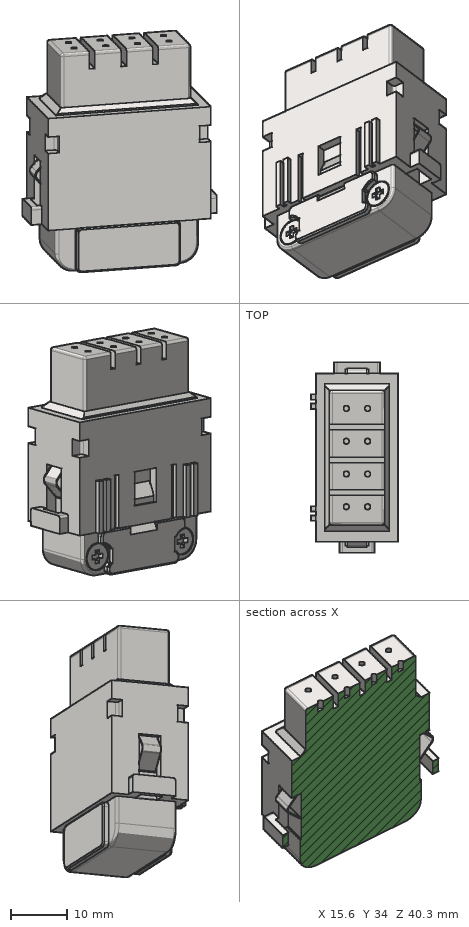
import cadquery as cq
import math

BODY_X = 14.65
BODY_Y = 30.05
BODY_SHIFT = 0.02
BODY_BOTTOM = 8.42
BODY_TOP = 29.18
BODY_LEFT = BODY_SHIFT - BODY_X / 2
BODY_END = BODY_Y / 2

TOWER_X = 9.9
TOWER_Y = 24.05
TOWER_TOP = 40.3
TOWER_FILLET = 0.52
FOOT_HEIGHT = 1.13
FOOT_X = 11.55
PITCH = 5.85
SLOT_WIDTH = 1.0
SLOT_DEPTH = 3.2
SLOT_SHIFT = -0.4
PIN_ROWS = 4
PIN_X = 1.9
PIN_DIAMETER = 1.0
PIN_DEPTH = 2

NOTCH_BOTTOM = 22.7
NOTCH_TOP = 25.75
NOTCH_X = 2.0
NOTCH_Y = 2.1
NOTCH_FILLET = 0.5

END_SLOT_WIDTH = 4.15
END_SLOT_TOP = 19.8
END_SLOT_DEPTH = 2.05
SPRING_WIDTH = 3.55
SPRING_BOTTOM = 13.45
SPRING_PEAK_Z = 17.13
SPRING_PEAK_OUT = 0.93
SPRING_RADIUS = 1.13
SPRING_LEAN = math.radians(42)
SPRING_THICKNESS = 0.2
TAB_OUT = 1.97
TAB_TOP = 11.73
TAB_FRONT_WIDTH = 6.3
TAB_REAR_WIDTH = 8.22
TAB_FILLET = 0.5
TAB_SLOT_OUT = 0.7

RIB_OUT = 0.93
RIB_WIDTH = 1.0
RIB_TOP = 17.97
RIB_Y = (9.15, 10.8)
GROOVE_Y = 6.53
GROOVE_TOP = 18.25
GROOVE_DEPTH = 0.85
WINDOW_WIDTH = 4.9
WINDOW_BOTTOM = 12.0
WINDOW_DEPTH = 1.6
LATCH_WIDTH = 4.67
LATCH_FACE_TOP = 13.1
LATCH_TOP = 15.65
LATCH_INSET = 0.45

SHELL_X = 11.6
SHELL_Y = 26.45
SHELL_CORNER = 3.5
SHELL_FILLET = 0.52
COVER_THICKNESS = 1.13
COVER_Y = 19.2
COVER_TOP = 8.25
COVER_CORNER = 0.93
COVER_CHAMFER = 0.3
COVER_LOWER_Y = 16.3
NICHE_WIDTH = 6.0
NICHE_BOTTOM = 6.77
NICHE_DEPTH = 0.8

SCREW_Y = SHELL_Y / 2 - SHELL_CORNER
SCREW_Z = SHELL_CORNER
SCREW_RADIUS = 2.5
SCREW_RING = 0.1
SCREW_RING_DEPTH = 0.25
CROSS_LENGTH = 2.4
CROSS_FLOOR_LENGTH = 1.45
CROSS_WIDTH = 0.8
CROSS_DEPTH = 0.6
CUTOUT_RADIUS = 2.5
CUTOUT_FLARE = 0.25
OPENING_Y = 7.1
SLIT_X = 0.25
SLIT_BOTTOM = 2.15
SLIT_TOP = 4.85


def block(x0, x1, y0, y1, z0, z1):
    return cq.Workplane("XY").box(x1 - x0, y1 - y0, z1 - z0, centered=False).translate((x0, y0, z0))


def bar(width_x, width_y, z0, z1):
    return block(-width_x / 2, width_x / 2, -width_y / 2, width_y / 2, z0, z1)


def make_plug():
    plug = bar(TOWER_X, TOWER_Y, BODY_TOP, TOWER_TOP).edges("|Z or >Z").fillet(TOWER_FILLET)
    spread = 2 * FOOT_HEIGHT
    foot = (
        cq.Workplane("XY").workplane(offset=BODY_TOP).rect(TOWER_X + spread, TOWER_Y + spread)
        .workplane(offset=FOOT_HEIGHT).rect(TOWER_X, TOWER_Y).loft()
    )
    foot = foot.intersect(bar(FOOT_X, BODY_Y, BODY_TOP, TOWER_TOP))
    plug = plug.union(foot)
    for row in (-1, 0, 1):
        slot = bar(2 * TOWER_X, SLOT_WIDTH, TOWER_TOP - SLOT_DEPTH, TOWER_TOP)
        plug = plug.cut(slot.translate((0, SLOT_SHIFT + row * PITCH, 0)))
    pins = (
        cq.Workplane("XY").workplane(offset=TOWER_TOP).rarray(2 * PIN_X, PITCH, 2, PIN_ROWS)
        .circle(PIN_DIAMETER / 2).extrude(-PIN_DEPTH)
    )
    return plug.cut(pins)


def make_corner_notches():
    notches = cq.Workplane("XY").workplane(offset=NOTCH_BOTTOM).center(BODY_SHIFT, 0)
    notches = notches.rect(BODY_X, BODY_Y, forConstruction=True).vertices()
    notches = notches.rect(2 * NOTCH_X, 2 * NOTCH_Y).extrude(NOTCH_TOP - NOTCH_BOTTOM)
    return notches.edges("|Z").fillet(NOTCH_FILLET)


def make_spring():
    """Bent strip at the +Y end: two leaning legs joined by a rounded peak."""
    center_y = BODY_END + SPRING_PEAK_OUT - SPRING_RADIUS
    inner = SPRING_RADIUS - SPRING_THICKNESS

    def on_leg(radius, z):
        drop = abs(z - SPRING_PEAK_Z) * math.tan(SPRING_LEAN)
        return center_y + radius / math.cos(SPRING_LEAN) - drop, z

    def tangent(radius, side):
        rise = side * radius * math.sin(SPRING_LEAN)
        return center_y + radius * math.cos(SPRING_LEAN), SPRING_PEAK_Z + rise

    strip = (
        cq.Workplane("YZ")
        .moveTo(*on_leg(SPRING_RADIUS, END_SLOT_TOP)).lineTo(*tangent(SPRING_RADIUS, 1))
        .threePointArc((center_y + SPRING_RADIUS, SPRING_PEAK_Z), tangent(SPRING_RADIUS, -1))
        .lineTo(*on_leg(SPRING_RADIUS, SPRING_BOTTOM)).lineTo(*on_leg(inner, SPRING_BOTTOM))
        .lineTo(*tangent(inner, -1))
        .threePointArc((center_y + inner, SPRING_PEAK_Z), tangent(inner, 1))
        .lineTo(*on_leg(inner, END_SLOT_TOP)).close()
    )
    return strip.extrude(SPRING_WIDTH / 2, both=True)


def make_end(tab_width):
    """Tab, slot and spring of the +Y end."""
    tab = block(-tab_width / 2, tab_width / 2, BODY_END, BODY_END + TAB_OUT, BODY_BOTTOM, TAB_TOP)
    tab = tab.edges("|Y and >Z").fillet(TAB_FILLET)
    slot = block(-END_SLOT_WIDTH / 2, END_SLOT_WIDTH / 2, BODY_END - END_SLOT_DEPTH,
                 BODY_END + TAB_SLOT_OUT, BODY_BOTTOM, END_SLOT_TOP)
    return tab, slot, make_spring()


def make_body():
    body = bar(BODY_X, BODY_Y, BODY_BOTTOM, BODY_TOP).translate((BODY_SHIFT, 0, 0))
    body = body.cut(make_corner_notches())
    for tab_width, turn in ((TAB_REAR_WIDTH, 0), (TAB_FRONT_WIDTH, 180)):
        tab, slot, spring = (
            piece.rotate((0, 0, 0), (0, 0, 1), turn) for piece in make_end(tab_width)
        )
        body = body.union(tab).cut(slot).union(spring)
    return body


def add_side_details(body):
    for side in (-1, 1):
        for y in RIB_Y:
            rib = block(BODY_LEFT - RIB_OUT, BODY_LEFT, side * y - RIB_WIDTH / 2,
                        side * y + RIB_WIDTH / 2, BODY_BOTTOM, RIB_TOP)
            body = body.union(rib)
        groove = block(BODY_LEFT, BODY_LEFT + GROOVE_DEPTH, side * GROOVE_Y - RIB_WIDTH / 2,
                       side * GROOVE_Y + RIB_WIDTH / 2, BODY_BOTTOM, GROOVE_TOP)
        body = body.cut(groove)
    window = block(BODY_LEFT, BODY_LEFT + WINDOW_DEPTH, -WINDOW_WIDTH / 2, WINDOW_WIDTH / 2,
                   WINDOW_BOTTOM, GROOVE_TOP)
    back = BODY_LEFT + WINDOW_DEPTH
    face = BODY_LEFT + LATCH_INSET
    latch = (
        cq.Workplane("XZ")
        .polyline([(back, WINDOW_BOTTOM), (face, WINDOW_BOTTOM), (face, LATCH_FACE_TOP),
                   (back, LATCH_TOP)]).close()
        .extrude(LATCH_WIDTH / 2, both=True)
    )
    return body.cut(window).union(latch)


def make_cover():
    """Cover plate on the -X side, without cutouts."""
    inner = -SHELL_X / 2
    plate = block(inner - COVER_THICKNESS, inner, -COVER_Y / 2, COVER_Y / 2, 0, COVER_TOP)
    return plate.edges("|X").fillet(COVER_CORNER)


def make_screw_cutout():
    """Flared round cut over the +Y screw, stopped flat on its inner side."""
    inner = -SHELL_X / 2
    outer = inner - COVER_THICKNESS
    center = cq.Workplane("YZ").workplane(offset=outer).center(SCREW_Y, SCREW_Z)
    flare = center.circle(CUTOUT_RADIUS + CUTOUT_FLARE).workplane(offset=CUTOUT_FLARE)
    flare = flare.circle(CUTOUT_RADIUS).loft()
    cutout = center.circle(CUTOUT_RADIUS).extrude(COVER_THICKNESS).union(flare)
    cutout = cutout.intersect(block(outer, inner, OPENING_Y, SHELL_Y, 0, COVER_TOP))
    return cutout.union(block(outer, inner, OPENING_Y, SCREW_Y, SLIT_BOTTOM, SLIT_TOP))


def make_screw_cover():
    """Cover plate with screw cutouts, a slit behind it and a sloped niche."""
    inner = -SHELL_X / 2
    outer = inner - COVER_THICKNESS
    cover = make_cover()
    step = block(outer, inner, COVER_LOWER_Y / 2, COVER_Y / 2, 0, SCREW_Z)
    cover = cover.cut(step).cut(step.mirror("XZ"))
    cover = cover.edges("|X and <Z").fillet(COVER_CORNER)
    cover = cover.faces("<X").chamfer(COVER_CHAMFER)
    cutout = make_screw_cutout()
    cover = cover.cut(cutout).cut(cutout.mirror("XZ"))
    slit = block(inner - SLIT_X, inner, -COVER_Y / 2, COVER_Y / 2, SLIT_BOTTOM, SLIT_TOP)
    niche = (
        cq.Workplane("XZ")
        .polyline([(outer, NICHE_BOTTOM), (outer + NICHE_DEPTH, COVER_TOP), (outer, COVER_TOP)])
        .close().extrude(NICHE_WIDTH / 2, both=True)
    )
    return cover.cut(slit).cut(niche)


def make_cross_arm(turn):
    """One bar of the cross recess, with ends that slope towards its floor."""
    arm = (
        cq.Workplane("YZ").rect(CROSS_LENGTH, CROSS_WIDTH)
        .workplane(offset=CROSS_DEPTH).rect(CROSS_FLOOR_LENGTH, CROSS_WIDTH).loft()
    )
    return arm.rotate((0, 0, 0), (1, 0, 0), turn)


def make_shell():
    shell = bar(SHELL_X, SHELL_Y, 0, BODY_BOTTOM).edges("|X and <Z").fillet(SHELL_CORNER)
    shell = shell.faces("<X or >X").edges("not >Z").fillet(SHELL_FILLET)
    face = cq.Workplane("YZ").workplane(offset=-SHELL_X / 2)
    for side in (-1, 1):
        spot = face.center(side * SCREW_Y, SCREW_Z)
        ring = spot.circle(SCREW_RADIUS).circle(SCREW_RADIUS - SCREW_RING).extrude(SCREW_RING_DEPTH)
        shell = shell.cut(ring)
        for turn in (0, 90):
            shell = shell.cut(make_cross_arm(turn).translate((-SHELL_X / 2, side * SCREW_Y, SCREW_Z)))
    plain_cover = make_cover().faces("<X").chamfer(COVER_CHAMFER).mirror("YZ")
    return shell.union(plain_cover).union(make_screw_cover())


result = add_side_details(make_body()).union(make_plug()).union(make_shell())